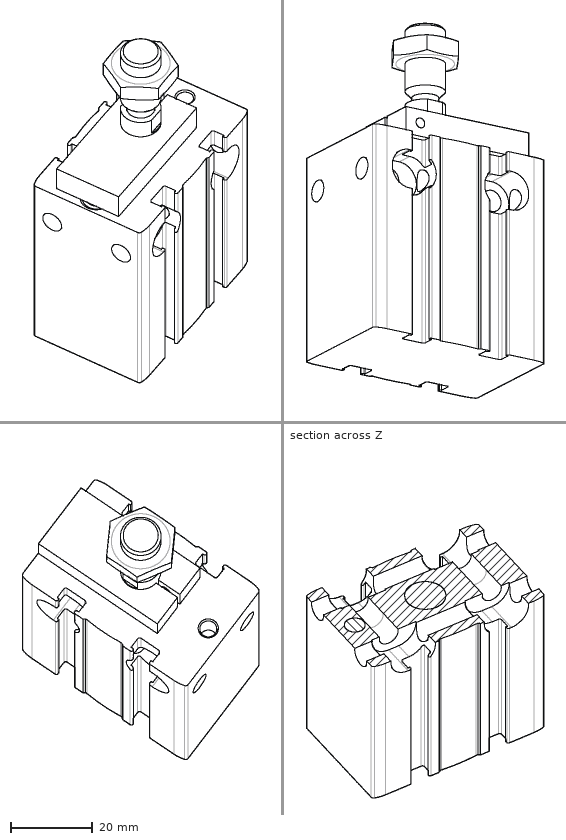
import cadquery as cq
import math


HOUSING_HALF_X = 16.0
HOUSING_DEPTH = 50.0
HOUSING_HALF_Y = HOUSING_DEPTH / 2
HOUSING_HEIGHT = 53.0
SIDE_FLAT_END_Y = 21.5
CORNER_CURVE_RADIUS = 10.4
CORNER_FILLET = 0.8

GROOVE_FLOOR_X = 11.75
GROOVE_INNER_Y = 7.9
GROOVE_OUTER_Y = 14.4
INNER_LIP = 0.9
OUTER_LIP = 0.5
LIP_THICKNESS = 1.0
OUTER_LIP_FILLET = 0.4
GROOVE_FLOOR_FILLET = 0.6

RECESS_EDGE_Y = 6.0
RECESS_X = 15.6
CROWN_HALF_Y = 5.05
CROWN_X = 15.8

MOUNT_HOLE_DIAMETER = 5.5
MOUNT_HOLE_DROP = 10.0
MOUNT_HOLE_Z = HOUSING_HEIGHT - MOUNT_HOLE_DROP
CROSS_HOLE_X = 10.0
SIDE_HOLE_Y = 15.0
SEAT_DIAMETER = 10.0
SEAT_INNER_Y = 12.1
SEAT_FLOOR_X = 7.0

GUIDE_OFFSET_Y = 20.45
TAPPED_MOUTH_DIAMETER = 5.0
TAPPED_DIAMETER = 4.2
TAPPED_DEPTH = 7.0
DRILL_POINT_ANGLE = 118

PLATE_GAP = 2.0
PLATE_BOTTOM = HOUSING_HEIGHT + PLATE_GAP
PLATE_THICKNESS = 7.0
PLATE_TOP = PLATE_BOTTOM + PLATE_THICKNESS
PLATE_WIDTH = 18.0
PLATE_BACK_Y = 11.5
PLATE_LENGTH = 36.0
SLIT_WIDTH = 1.0
CLAMP_HOLE_DIAMETER = 2.5
CLAMP_HOLE_Y = 7.2

ROD_DIAMETER = 10.0
ROD_INSERTION = 10.0
ROD_BOTTOM = HOUSING_HEIGHT - ROD_INSERTION
ROD_PROJECTION = 5.05
ROD_TOP = PLATE_TOP + ROD_PROJECTION
FLAT_ACROSS = 9.0
FLAT_GAP = 0.5
FLAT_BOTTOM = PLATE_TOP + FLAT_GAP
GUIDE_DIAMETER = 5.0
DISH_DIAMETER = 8.0
DISH_FLOOR_DIAMETER = 7.0
DISH_DEPTH = 0.3
SOCKET_DIAMETER = 7.0
SOCKET_DEPTH = 5.0

TOTAL_HEIGHT = 87.0
STUD_DIAMETER = 10.0
NECK_DIAMETER = 6.7
NECK_LENGTH = 2.0
STUD_TIP_CHAMFER = 0.7

NUT_ACROSS_FLATS = 16.0
NUT_THICKNESS = 5.0
NUT_BOTTOM = 77.9
NUT_FACE_DIAMETER = 14.4
NUT_CHAMFER_ANGLE = 15


def cylinder(diameter, bottom, top, y=0):
    """Upright cylinder between two heights."""
    return cq.Workplane("XY", origin=(0, y, bottom)).circle(diameter / 2).extrude(top - bottom)


def on_all_sides(cutter):
    """The cutter together with its mirror images in X and Y."""
    pair = cutter.union(cutter.mirror("YZ"))
    return pair.union(pair.mirror("XZ"))


def housing_blank():
    """Rectangular blank with the four curved and rounded corners."""
    center_x = HOUSING_HALF_X - CORNER_CURVE_RADIUS

    def on_corner_curve(y):
        return center_x + math.sqrt(CORNER_CURVE_RADIUS**2 - (y - SIDE_FLAT_END_Y) ** 2)

    end_x = on_corner_curve(HOUSING_HALF_Y)
    middle_y = (SIDE_FLAT_END_Y + HOUSING_HALF_Y) / 2
    middle_x = on_corner_curve(middle_y)
    return (
        cq.Workplane("XY")
        .moveTo(HOUSING_HALF_X, -SIDE_FLAT_END_Y)
        .lineTo(HOUSING_HALF_X, SIDE_FLAT_END_Y)
        .threePointArc((middle_x, middle_y), (end_x, HOUSING_HALF_Y))
        .lineTo(-end_x, HOUSING_HALF_Y)
        .threePointArc((-middle_x, middle_y), (-HOUSING_HALF_X, SIDE_FLAT_END_Y))
        .lineTo(-HOUSING_HALF_X, -SIDE_FLAT_END_Y)
        .threePointArc((-middle_x, -middle_y), (-end_x, -HOUSING_HALF_Y))
        .lineTo(end_x, -HOUSING_HALF_Y)
        .threePointArc((middle_x, -middle_y), (HOUSING_HALF_X, -SIDE_FLAT_END_Y))
        .close()
        .extrude(HOUSING_HEIGHT)
        .edges("|Z")
        .edges(">Y or <Y")
        .fillet(CORNER_FILLET)
    )


def sensor_groove():
    """T-shaped groove on the +X, +Y side, with rounded lips and filleted floor corners."""
    mouth_inner_y = GROOVE_INNER_Y + INNER_LIP
    mouth_outer_y = GROOVE_OUTER_Y - OUTER_LIP
    lip_x = HOUSING_HALF_X - LIP_THICKNESS
    round_radius = LIP_THICKNESS / 2
    tip_x = HOUSING_HALF_X - round_radius
    return (
        cq.Workplane("XY")
        .moveTo(HOUSING_HALF_X, mouth_inner_y - round_radius)
        .threePointArc((tip_x, mouth_inner_y), (lip_x, mouth_inner_y - round_radius))
        .lineTo(lip_x, GROOVE_INNER_Y)
        .lineTo(GROOVE_FLOOR_X, GROOVE_INNER_Y)
        .lineTo(GROOVE_FLOOR_X, GROOVE_OUTER_Y)
        .lineTo(lip_x, GROOVE_OUTER_Y)
        .lineTo(lip_x, mouth_outer_y)
        .lineTo(HOUSING_HALF_X - OUTER_LIP_FILLET, mouth_outer_y)
        .radiusArc((HOUSING_HALF_X, mouth_outer_y + OUTER_LIP_FILLET), -OUTER_LIP_FILLET)
        .close()
        .extrude(HOUSING_HEIGHT)
        .edges("|Z and <X")
        .fillet(GROOVE_FLOOR_FILLET)
    )


def side_recess():
    """Shallow recess on the +X side whose floor is crowned in the middle.

    Two equal quarter arcs, one convex and one concave, step down to the floor at each end.
    """
    bend_radius = (HOUSING_HALF_X - RECESS_X) / 2
    middle_x = HOUSING_HALF_X - bend_radius
    middle_y = RECESS_EDGE_Y - bend_radius
    floor_y = middle_y - bend_radius
    return (
        cq.Workplane("XY")
        .moveTo(HOUSING_HALF_X, -RECESS_EDGE_Y)
        .radiusArc((middle_x, -middle_y), bend_radius)
        .radiusArc((RECESS_X, -floor_y), -bend_radius)
        .lineTo(RECESS_X, -CROWN_HALF_Y)
        .threePointArc((CROWN_X, 0), (RECESS_X, CROWN_HALF_Y))
        .lineTo(RECESS_X, floor_y)
        .radiusArc((middle_x, middle_y), -bend_radius)
        .radiusArc((HOUSING_HALF_X, RECESS_EDGE_Y), bend_radius)
        .close()
        .extrude(HOUSING_HEIGHT)
    )


def screw_seat():
    """Slot-shaped screw seat on the +X, +Y side."""
    return (
        cq.Workplane("YZ", origin=(SEAT_FLOOR_X, (SIDE_HOLE_Y + SEAT_INNER_Y) / 2, MOUNT_HOLE_Z))
        .slot2D(SIDE_HOLE_Y - SEAT_INNER_Y + SEAT_DIAMETER, SEAT_DIAMETER)
        .extrude(HOUSING_HALF_X - SEAT_FLOOR_X)
    )


def mounting_holes():
    """Two through holes along Y and two along X."""
    along_y = (
        cq.Workplane("XZ", origin=(0, 0, MOUNT_HOLE_Z))
        .pushPoints([(-CROSS_HOLE_X, 0), (CROSS_HOLE_X, 0)])
        .circle(MOUNT_HOLE_DIAMETER / 2)
        .extrude(HOUSING_HALF_Y, both=True)
    )
    along_x = (
        cq.Workplane("YZ", origin=(0, 0, MOUNT_HOLE_Z))
        .pushPoints([(-SIDE_HOLE_Y, 0), (SIDE_HOLE_Y, 0)])
        .circle(MOUNT_HOLE_DIAMETER / 2)
        .extrude(HOUSING_HALF_X, both=True)
    )
    return along_y.union(along_x)


def tapped_hole():
    """Blind hole with a chamfered mouth and a drill point."""
    radius = TAPPED_DIAMETER / 2
    mouth_radius = TAPPED_MOUTH_DIAMETER / 2
    point_depth = radius / math.tan(math.radians(DRILL_POINT_ANGLE / 2))
    return (
        cq.Workplane("XZ", origin=(0, GUIDE_OFFSET_Y, HOUSING_HEIGHT))
        .polyline([
            (0, 0),
            (mouth_radius, 0),
            (radius, radius - mouth_radius),
            (radius, -TAPPED_DEPTH),
            (0, -TAPPED_DEPTH - point_depth),
        ])
        .close()
        .revolve(360, (0, 0, 0), (0, 1, 0))
    )


def guide_rod_seat():
    """Bore that fits the guide rod, opening into a shallow tapered dish."""
    bore = cylinder(GUIDE_DIAMETER, ROD_BOTTOM, HOUSING_HEIGHT, -GUIDE_OFFSET_Y)
    dish = (
        cq.Workplane("XY", origin=(0, -GUIDE_OFFSET_Y, HOUSING_HEIGHT))
        .circle(DISH_DIAMETER / 2)
        .workplane(offset=-DISH_DEPTH)
        .circle(DISH_FLOOR_DIAMETER / 2)
        .loft(ruled=True)
    )
    return bore.union(dish)


def make_housing():
    return (
        housing_blank()
        .cut(on_all_sides(sensor_groove()))
        .cut(on_all_sides(side_recess()))
        .cut(on_all_sides(screw_seat()))
        .cut(mounting_holes())
        .cut(tapped_hole())
        .cut(cylinder(ROD_DIAMETER, ROD_BOTTOM, HOUSING_HEIGHT))
        .cut(guide_rod_seat())
    )


def make_clamp_plate():
    """Plate clamped on the rod by a slit, with a clamp-screw hole from -X into the slit."""
    plate = (
        cq.Workplane("XY", origin=(0, PLATE_BACK_Y - PLATE_LENGTH / 2, PLATE_BOTTOM))
        .rect(PLATE_WIDTH, PLATE_LENGTH)
        .extrude(PLATE_THICKNESS)
    )
    slit = (
        cq.Workplane("XY", origin=(0, PLATE_BACK_Y / 2, PLATE_BOTTOM))
        .rect(SLIT_WIDTH, PLATE_BACK_Y)
        .extrude(PLATE_THICKNESS)
    )
    clamp_hole = (
        cq.Workplane("YZ", origin=(-PLATE_WIDTH / 2, CLAMP_HOLE_Y, PLATE_BOTTOM + PLATE_THICKNESS / 2))
        .circle(CLAMP_HOLE_DIAMETER / 2)
        .extrude(PLATE_WIDTH / 2)
    )
    return plate.cut(slit).cut(clamp_hole).cut(cylinder(ROD_DIAMETER, PLATE_BOTTOM, PLATE_TOP))


def make_piston_rod():
    """Main rod with two wrench flats and a socket for the stud."""
    rod = cylinder(ROD_DIAMETER, ROD_BOTTOM, ROD_TOP)
    between_flats = (
        cq.Workplane("XY", origin=(0, 0, FLAT_BOTTOM))
        .rect(FLAT_ACROSS, ROD_DIAMETER)
        .extrude(ROD_TOP - FLAT_BOTTOM)
    )
    flats = cylinder(ROD_DIAMETER, FLAT_BOTTOM, ROD_TOP).cut(between_flats)
    return rod.cut(flats).cut(cylinder(SOCKET_DIAMETER, ROD_TOP - SOCKET_DEPTH, ROD_TOP))


def make_guide_rod():
    return cylinder(GUIDE_DIAMETER, ROD_BOTTOM, PLATE_BOTTOM, -GUIDE_OFFSET_Y)


def make_stud():
    """Threaded stud whose neck stands in the rod socket with a narrow gap around it."""
    radius = STUD_DIAMETER / 2
    neck_radius = NECK_DIAMETER / 2
    neck_top = ROD_TOP + NECK_LENGTH
    return (
        cq.Workplane("XZ")
        .polyline([
            (0, ROD_TOP - SOCKET_DEPTH),
            (neck_radius, ROD_TOP - SOCKET_DEPTH),
            (neck_radius, neck_top),
            (radius, neck_top + radius - neck_radius),
            (radius, TOTAL_HEIGHT - STUD_TIP_CHAMFER),
            (radius - STUD_TIP_CHAMFER, TOTAL_HEIGHT),
            (0, TOTAL_HEIGHT),
        ])
        .close()
        .revolve(360, (0, 0, 0), (0, 1, 0))
    )


def make_nut():
    """Hexagon nut with corners along Y, chamfered on both faces, bored to fit the stud."""
    across_corners = NUT_ACROSS_FLATS / math.cos(math.radians(30))
    hexagon = (
        cq.Workplane("XY", origin=(0, 0, NUT_BOTTOM))
        .polygon(6, across_corners)
        .extrude(NUT_THICKNESS)
        .rotate((0, 0, 0), (0, 0, 1), 90)
    )
    face_radius = NUT_FACE_DIAMETER / 2
    corner_radius = across_corners / 2
    drop = (corner_radius - face_radius) * math.tan(math.radians(NUT_CHAMFER_ANGLE))
    envelope = (
        cq.Workplane("XZ", origin=(0, 0, NUT_BOTTOM))
        .polyline([
            (0, 0),
            (face_radius, 0),
            (corner_radius, drop),
            (corner_radius, NUT_THICKNESS - drop),
            (face_radius, NUT_THICKNESS),
            (0, NUT_THICKNESS),
        ])
        .close()
        .revolve(360, (0, 0, 0), (0, 1, 0))
    )
    bore = cylinder(STUD_DIAMETER, NUT_BOTTOM, NUT_BOTTOM + NUT_THICKNESS)
    return hexagon.intersect(envelope).cut(bore)


housing = make_housing()
clamp_plate = make_clamp_plate()
piston_rod = make_piston_rod()
guide_rod = make_guide_rod()
stud = make_stud()
nut = make_nut()

result = cq.Compound.makeCompound([
    housing.val(),
    clamp_plate.val(),
    piston_rod.val(),
    guide_rod.val(),
    stud.val(),
    nut.val(),
])